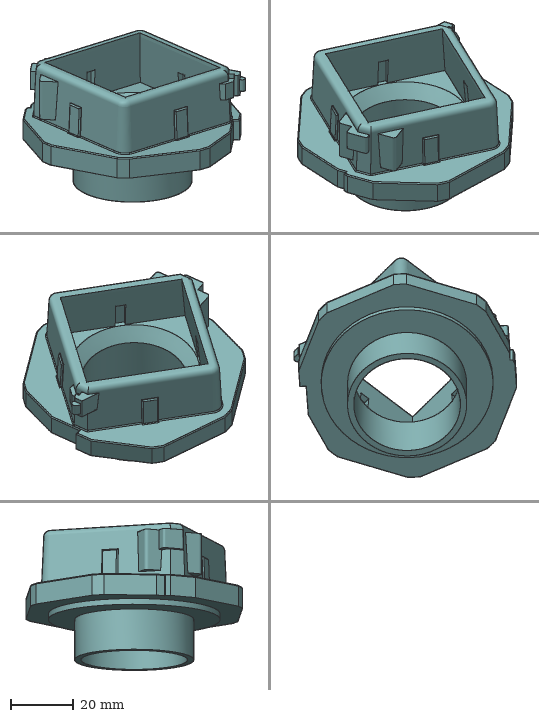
import cadquery as cq
import math

collar_bottom = 13.1
flange_bottom = 15.0
flange_top = 21.9
total_height = 39.7

spigot_radius = 19.1
collar_radius = 27.5
bore_radius = 17.05
funnel_radius = 21.0
funnel_depth = 4.2

flange_radius = 36.0
flange_apothem = 34.0
flange_edge_chamfer = 0.35
hook_corner_angle = 225
lever_corner_angle = 45
hook_corner_reach = 34.8
hook_corner_low_reach = 33.3
hook_corner_step = 5.55
hook_step_bevel_depth = 0.5
hook_step_bevel_length = 1.4
lever_corner_reach = 34.4
lever_corner_low_reach = 32.4
lever_corner_step = 0.0

socket_base_half = 24.1
socket_top_half = 23.3
corner_chamfer = 3.6
corner_radius = 3.45
wall_slope = (socket_base_half - socket_top_half) / (total_height - flange_top)
rim_radius = 2.0
base_skirt = 0.35
mouth_half = 19.9
mouth_depth = 1.3
cavity_floor_half = 21.25

tab_width = 5.5
tab_thickness = 0.65
tab_top = 31.9
tab_bevel = 0.4
tab_foot = 0.3
recess_width = 3.3
recess_reach = 22.45
recess_top = 31.4

wedge_center = 13.45
wedge_apex = 27.7
wedge_root = 22.3
wedge_tip_radius = 1.1
wedge_bottom = 24.0
hook_bottom = 30.8
hook_top = 37.1
hook_reach = 32.75
hook_root_reach = 26.65
hook_width = 7.2
hook_offset = 1.9
hook_radius = 0.7

lever_bottom = 30.5
lever_top = 37.6
pin_bottom = 32.0
pin_top = 36.1
pin_radius = 1.1
pin_x = 24.7
pin_y = 25.05
pin_root_x = 23.2
lever_outline = [
    (16.35, 23.3), (22.75, 26.0), (24.6, 24.1), (24.6, 23.3),
    (24.0, 22.3), (23.1, 23.1), (21.25, 21.25), (16.35, 21.95),
]
catch_outline = [
    (22.3, 15.4), (24.9, 17.85), (24.9, 21.2), (23.1, 23.1), (21.25, 21.25),
]


def prism(outline, bottom, top):
    """Extrude a closed XY outline between two heights."""
    return cq.Workplane("XY").workplane(offset=bottom).polyline(outline).close().extrude(top - bottom)


def cylinder(radius, bottom, top):
    """Upright cylinder on the Z axis."""
    return cq.Workplane("XY").workplane(offset=bottom).circle(radius).extrude(top - bottom)


def block(x_range, y_range, z_range):
    """Box given by its limits along each axis."""
    (x0, x1), (y0, y1), (z0, z1) = x_range, y_range, z_range
    return cq.Workplane("XY").box(x1 - x0, y1 - y0, z1 - z0, centered=False).translate((x0, y0, z0))


def turn(shape, angle):
    """Rotate a shape about the Z axis."""
    return shape.rotate((0, 0, 0), (0, 0, 1), angle)


def corner_cutter(corner_angle, reach, side_start, side_end):
    """Block that removes everything beyond `reach` on a diagonal, over a span across that diagonal."""
    cutter = block((reach, 2 * flange_radius), (side_start, side_end), (flange_bottom, flange_top))
    return turn(cutter, corner_angle)


def make_flange():
    octagon_diameter = 2 * flange_apothem / math.cos(math.pi / 8)
    flange = (
        cq.Workplane("XY").workplane(offset=flange_bottom)
        .polygon(8, octagon_diameter).extrude(flange_top - flange_bottom)
        .intersect(cylinder(flange_radius, flange_bottom, flange_top))
    )
    wide = flange_radius
    flange = flange.cut(corner_cutter(hook_corner_angle, hook_corner_reach, -wide, wide))
    flange = flange.cut(corner_cutter(hook_corner_angle, hook_corner_low_reach, -wide, -hook_corner_step))
    step_bevel = [
        (hook_corner_reach - hook_step_bevel_depth, -hook_corner_step),
        (hook_corner_reach, -hook_corner_step),
        (hook_corner_reach, -hook_corner_step + hook_step_bevel_length),
    ]
    flange = flange.cut(turn(prism(step_bevel, flange_bottom, flange_top), hook_corner_angle))
    flange = flange.cut(corner_cutter(lever_corner_angle, lever_corner_reach, -wide, wide))
    flange = flange.cut(corner_cutter(lever_corner_angle, lever_corner_low_reach, -wide, lever_corner_step))
    return flange.faces(">Z").edges().chamfer(flange_edge_chamfer)


def socket_outline(half, height):
    """Square with two opposite corners chamfered and the other two rounded."""
    flat = half - corner_chamfer
    tangent = half - corner_radius
    mid = tangent + corner_radius * math.sqrt(0.5)
    return (
        cq.Workplane("XY").workplane(offset=height)
        .moveTo(-flat, -half).lineTo(tangent, -half)
        .threePointArc((mid, -mid), (half, -tangent)).lineTo(half, flat)
        .lineTo(flat, half).lineTo(-tangent, half)
        .threePointArc((-mid, mid), (-half, tangent)).lineTo(-half, -flat).close()
    )


def make_socket():
    height = total_height - flange_top
    draft_angle = math.degrees(math.atan(wall_slope))
    socket = socket_outline(socket_base_half, flange_top).extrude(height, taper=draft_angle)
    socket = socket.faces(">Z").edges().fillet(rim_radius)
    skirt = socket_outline(socket_base_half, flange_top + base_skirt).extrude(-base_skirt, taper=-45)
    return socket.union(skirt)


def make_tab():
    """Bevelled plate on the +X wall that follows the wall's draft and flares at its foot."""
    base_reach = socket_base_half + tab_thickness
    top_reach = base_reach - wall_slope * (tab_top - flange_top)
    plate_profile = [
        (mouth_half, flange_top), (base_reach, flange_top), (top_reach, tab_top), (mouth_half, tab_top),
    ]
    foot_profile = [
        (mouth_half, flange_top), (base_reach + tab_foot, flange_top),
        (base_reach, flange_top + tab_foot), (mouth_half, flange_top + tab_foot),
    ]
    plate = cq.Workplane("XZ").polyline(plate_profile).close().extrude(tab_width / 2, both=True)
    plate = plate.faces(">X").edges("not <Z").chamfer(tab_bevel)
    foot = cq.Workplane("XZ").polyline(foot_profile).close().extrude(tab_width / 2, both=True)
    return plate.union(foot)


def make_recess():
    """Pocket in the inside of the +X wall."""
    return block((0, recess_reach), (-recess_width / 2, recess_width / 2), (flange_top, recess_top))


def make_wedge():
    """Right-angled prism on the -Y wall, with a rounded outer edge."""
    half_width = wedge_apex - wedge_root
    outline = [
        (-wedge_center - half_width, -wedge_root),
        (-wedge_center, -wedge_apex),
        (-wedge_center + half_width, -wedge_root),
    ]
    return prism(outline, wedge_bottom, hook_top).edges("|Z and <Y").fillet(wedge_tip_radius)


def make_hook():
    """Block across the chamfered (-X, -Y) corner, shifted towards the -X wall."""
    hook = block(
        (hook_root_reach, hook_reach),
        (-hook_offset - hook_width / 2, -hook_offset + hook_width / 2),
        (hook_bottom, hook_top),
    )
    hook = hook.edges("|Z and >X").fillet(hook_radius)
    return turn(hook, hook_corner_angle)


def make_pin():
    """Round-ended finger on the lever end."""
    shank = block((pin_root_x, pin_x), (pin_y - pin_radius, pin_y + pin_radius), (pin_bottom, pin_top))
    return shank.union(cylinder(pin_radius, pin_bottom, pin_top).translate((pin_x, pin_y, 0)))


def make_cavity():
    """Square cavity that widens below its mouth, opening into a funnel and the bore."""
    mouth_bottom = total_height - mouth_depth
    mouth_side = 2 * mouth_half
    floor_side = 2 * cavity_floor_half
    mouth_limits = (-mouth_half, mouth_half)
    mouth = block(mouth_limits, mouth_limits, (mouth_bottom, total_height))
    chamber = (
        cq.Workplane("XY").workplane(offset=flange_top)
        .rect(floor_side, floor_side)
        .workplane(offset=mouth_bottom - flange_top).rect(mouth_side, mouth_side).loft()
    )
    funnel = (
        cq.Workplane("XY").workplane(offset=flange_top - funnel_depth).circle(bore_radius)
        .workplane(offset=funnel_depth).circle(funnel_radius).loft()
    )
    return mouth.union(chamber).union(funnel).union(cylinder(bore_radius, 0, flange_top))


body = cylinder(spigot_radius, 0, flange_bottom)
body = body.union(cylinder(collar_radius, collar_bottom, flange_bottom))
body = body.union(make_flange()).union(make_socket())

wedge = make_wedge()
body = body.union(wedge)
body = body.union(turn(wedge.mirror("XZ"), 90))
body = body.union(make_hook())

body = body.union(prism(lever_outline, lever_bottom, lever_top))
body = body.union(prism(catch_outline, lever_bottom, pin_top))
body = body.union(make_pin())

wall_angles = (0, 90, 180, 270)
for angle in wall_angles:
    body = body.union(turn(make_tab(), angle))

body = body.cut(make_cavity())
for angle in wall_angles:
    body = body.cut(turn(make_recess(), angle))

result = body